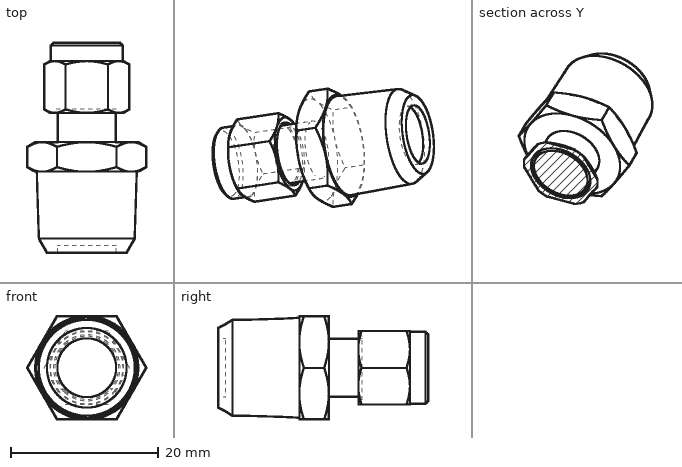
import cadquery as cq
import math


THREAD_LENGTH = 11.0
BODY_HEX_LENGTH = 4.0
NECK_LENGTH = 4.0
NUT_HEX_LENGTH = 7.0
COLLAR_LENGTH = 2.5

BODY_ACROSS_FLATS = 14.0
NUT_ACROSS_FLATS = 10.0
HEX_CHAMFER_ANGLE = 30.0

THREAD_LARGE_DIAMETER = 13.6
THREAD_TAPER = 1 / 16
LEAD_IN_LENGTH = 1.92
LEAD_IN_ANGLE = 30.0

RECESS_DIAMETER = 8.0
RECESS_DEPTH = 1.0

NECK_DIAMETER = 7.9
GROOVE_DIAMETER = 8.6
GROOVE_DEPTH = 0.5

COLLAR_DIAMETER = 9.8
COLLAR_CHAMFER = 0.4

body_hex_start = THREAD_LENGTH
neck_start = body_hex_start + BODY_HEX_LENGTH
nut_start = neck_start + NECK_LENGTH
collar_start = nut_start + NUT_HEX_LENGTH


def plane_at(y):
    """Plane across the axis at y, with local x along X and its normal along +Y."""
    return cq.Workplane(cq.Plane(origin=(0, y, 0), xDir=(1, 0, 0), normal=(0, 1, 0)))


def cylinder(start, length, diameter):
    return plane_at(start).circle(diameter / 2).extrude(length)


def turned(profile):
    """Solid of revolution about Y; the profile lists (radius, y) points."""
    return cq.Workplane("XY").polyline(profile).close().revolve(360, (0, 0, 0), (0, 1, 0))


def chamfered_hex(start, length, across_flats):
    """Hexagon with corners on the X axis, cut at both ends by cones that meet the flats."""
    flat_radius = across_flats / 2
    corner_radius = flat_radius / math.cos(math.radians(30))
    corner_drop = (corner_radius - flat_radius) * math.tan(math.radians(HEX_CHAMFER_ANGLE))
    end = start + length
    prism = plane_at(start).polygon(6, 2 * corner_radius).extrude(length)
    envelope = turned([
        (0, start),
        (flat_radius, start),
        (corner_radius, start + corner_drop),
        (corner_radius, end - corner_drop),
        (flat_radius, end),
        (0, end),
    ])
    return prism.intersect(envelope)


def tapered_thread():
    large_radius = THREAD_LARGE_DIAMETER / 2
    small_radius = large_radius - (THREAD_LENGTH - LEAD_IN_LENGTH) * THREAD_TAPER / 2
    tip_radius = small_radius - LEAD_IN_LENGTH * math.tan(math.radians(LEAD_IN_ANGLE))
    thread = turned([
        (0, 0),
        (tip_radius, 0),
        (small_radius, LEAD_IN_LENGTH),
        (large_radius, THREAD_LENGTH),
        (0, THREAD_LENGTH),
    ])
    return thread.cut(cylinder(0, RECESS_DEPTH, RECESS_DIAMETER))


def nut():
    hexagon = chamfered_hex(nut_start, NUT_HEX_LENGTH, NUT_ACROSS_FLATS)
    collar = cylinder(collar_start, COLLAR_LENGTH, COLLAR_DIAMETER).faces(">Y").chamfer(COLLAR_CHAMFER)
    groove = cylinder(nut_start, GROOVE_DEPTH, GROOVE_DIAMETER)
    return hexagon.union(collar).cut(groove)


neck = cylinder(neck_start, NECK_LENGTH + GROOVE_DEPTH, NECK_DIAMETER)
body_hex = chamfered_hex(body_hex_start, BODY_HEX_LENGTH, BODY_ACROSS_FLATS)

result = tapered_thread().union(body_hex).union(neck).union(nut())